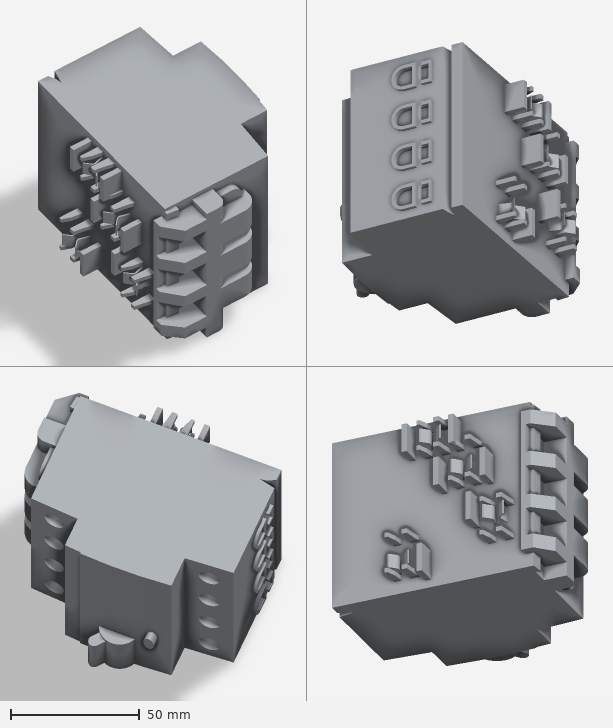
import cadquery as cq
import math

HOUSING_WIDTH = 85.3
HOUSING_HEIGHT = 71.6
SHOULDER_EDGE_Y = 49.3
SHOULDER_ROOT_Y = 50.7
NOSE_LEFT_X = 20.1
NOSE_RIGHT_X = 65.1
NOSE_EDGE_Y = 63.9
NOSE_CROWN_Y = 64.9
NOSE_DROP = 0.6
NOSE_DROP_X = 58.3
FOOT_INSET = 0.7
FOOT_TOP_Y = 4.8
NOTCH_BEND = (3.9, 6.5)
NOTCH_TIP = (6.8, 6.9)
NOTCH_TOP_Y = 8.5

LIP_TOP_WIDTH = 2.1
LIP_FOOT_WIDTH = 1.5
LIP_LENGTH_Y = 5.3
LIP_HEIGHT = 70.2

TERMINAL_COUNT = 4
TERMINAL_PITCH = 17.6
TERMINAL_ROW_Z = 35.2
TERMINAL_Y = 25.1
WIRE_HOLE_RADIUS = 3.9
WIRE_HOLE_BOTTOM_Y = 21.1
WIRE_HOLE_DEPTH = 2.9
LEFT_COLLAR_PROTRUSION = 1.4
LEFT_COLLAR_RADIUS = 5.3
LEFT_COLLAR_BOTTOM_Y = 19.8
RIGHT_COLLAR_PROTRUSION = 3.0
RIGHT_COLLAR_RADIUS = 5.0
RIGHT_COLLAR_Y = 29.8
TAB_BOTTOM_Y = 12.9
TAB_SIZE = (4.3, 9.6)
TAB_POCKET_SHIFT = 1.0
TAB_POCKET_HEIGHT = 6.6
TAB_POCKET_DEPTH = 2.9
SCREW_HOLE_DIAMETER = 8.5
SCREW_HOLE_DEPTH = 4.8

BUTTON_X = 28.0
BUTTON_Z = 26.4
BUTTON_WIDTH = 4.3
BUTTON_LENGTH = 7.3
BUTTON_TOP_Y = 68.0
DOME_CENTRE = (42.7, 61.9)
DOME_RADIUS = 8.1
DOME_Z = (0.6, 20.0)
LEVER_END = (49.6, 70.9)
LEVER_RADIUS = 2.3
LEVER_Z = (1.6, 18.5)

CONTACT_LENGTH = 8.7
BLADE_WIDTH = 2.3
BLADE_HEIGHT = 12.1
BLADES = [(34.4, 62.6), (54.2, 62.6), (48.0, 45.4), (67.7, 45.4), (61.7, 27.4), (40.8, 9.4)]
SOCKETS = [
    (40.8, 62.6, 57.0, 67.9),
    (54.2, 46.6, 41.1, 57.3),
    (67.7, 24.0, 14.5, 29.1),
    (27.2, 11.0, 6.6, 22.0),
]
FINGER_SPACING = 7.1
FINGER_HEIGHT = 1.9
FINGER_MID_Y = -4.8
LEFT_FINGER_WIDTHS = (3.4, 2.7, 1.3)
RIGHT_FINGER_WIDTHS = (3.9, 2.9, 2.3)
SPRING_HEIGHT = 5.9
SPRING_CENTRE = 5.4
SPRING_ROOT_GAP = 2.2
SPRING_KNEE_GAP = 0.9
SPRING_KNEE_Y = -4.9
SPRING_TIP_GAP = 4.0
SPRING_TIP_Y = -7.9
SPRING_THICKNESS = 0.7
SPRING_BEND_RADIUS = 1.9

COVER_RIGHT_X = 95.1
COVER_FOOT_X = 83.3
COVER_FOOT_Y = -4.0
COVER_CHAMFER_TOP_Y = 2.7
COVER_CHAMFER_X = 87.4
LOW_TAB_CHAMFER_X = 88.5
COVER_PLATE_Z = (5.8, 66.1)
COVER_BAR_Z = (0.0, 69.2)
COVER_BAR_BOTTOM_Y = 13.0
COVER_BAR_TOP_Y = 22.9
COVER_BAR_RADIUS = 4.1
BARRIER_TOP_Y = 37.9
BARRIER_RADIUS = 6.8
WINDOWS = [(11.9, 23.5), (29.4, 42.0), (48.1, 60.0)]

OVERLAP = 1.0
CUT_MARGIN = 1.9


def extrude_z(outline, z_range):
    """Extrude a closed XY outline between two Z levels."""
    bottom, top = z_range
    return outline.extrude(top - bottom).translate((0, 0, bottom))


def block(x_range, y_range, z_range):
    """Box between the given limits."""
    size = [high - low for low, high in (x_range, y_range, z_range)]
    corner = (x_range[0], y_range[0], z_range[0])
    return cq.Workplane("XY").box(*size, centered=False).translate(corner)


def centred(middle, size):
    """Limits of a length centred on a middle value."""
    return (middle - size / 2, middle + size / 2)


def crown_y(x):
    """Height of the nose's circular crown at X."""
    half_width = (NOSE_RIGHT_X - NOSE_LEFT_X) / 2
    sagitta = NOSE_CROWN_Y - NOSE_EDGE_Y
    radius = (half_width**2 + sagitta**2) / (2 * sagitta)
    offset = x - (NOSE_LEFT_X + NOSE_RIGHT_X) / 2
    return NOSE_CROWN_Y - radius + math.sqrt(radius**2 - offset**2)


def housing_block():
    nose_middle_x = (NOSE_LEFT_X + NOSE_RIGHT_X) / 2
    drop_middle_x = (NOSE_DROP_X + NOSE_RIGHT_X) / 2
    outline = (
        cq.Workplane("XY")
        .moveTo(FOOT_INSET, 0)
        .lineTo(FOOT_INSET, FOOT_TOP_Y)
        .lineTo(*NOTCH_BEND)
        .lineTo(*NOTCH_TIP)
        .lineTo(0, NOTCH_TOP_Y)
        .lineTo(0, SHOULDER_EDGE_Y)
        .lineTo(NOSE_LEFT_X, SHOULDER_ROOT_Y)
        .lineTo(NOSE_LEFT_X, NOSE_EDGE_Y)
        .threePointArc((nose_middle_x, NOSE_CROWN_Y), (NOSE_DROP_X, crown_y(NOSE_DROP_X)))
        .lineTo(NOSE_DROP_X, crown_y(NOSE_DROP_X) - NOSE_DROP)
        .threePointArc(
            (drop_middle_x, crown_y(drop_middle_x) - NOSE_DROP),
            (NOSE_RIGHT_X, NOSE_EDGE_Y - NOSE_DROP),
        )
        .lineTo(NOSE_RIGHT_X, SHOULDER_ROOT_Y)
        .lineTo(HOUSING_WIDTH, SHOULDER_EDGE_Y)
        .lineTo(HOUSING_WIDTH, 0)
        .close()
    )
    return extrude_z(outline, (0, HOUSING_HEIGHT))


def cover_lip():
    outline = cq.Workplane("XY").polyline([
        (HOUSING_WIDTH - OVERLAP, 0),
        (HOUSING_WIDTH + LIP_FOOT_WIDTH, 0),
        (HOUSING_WIDTH + LIP_TOP_WIDTH, LIP_LENGTH_Y),
        (HOUSING_WIDTH - OVERLAP, LIP_LENGTH_Y),
    ]).close()
    return extrude_z(outline, (0, LIP_HEIGHT))


def d_prism(x_range, centre_y, centre_z, radius, bottom_y):
    """Prism along X whose section is a half circle on top of a rectangle."""
    return (
        cq.Workplane("YZ")
        .moveTo(bottom_y, centre_z - radius)
        .lineTo(centre_y, centre_z - radius)
        .threePointArc((centre_y + radius, centre_z), (centre_y, centre_z + radius))
        .lineTo(bottom_y, centre_z + radius)
        .close()
        .extrude(x_range[1] - x_range[0])
        .translate((x_range[0], 0, 0))
    )


def add_left_terminal(body, z):
    """Wire collar with its hole, and the slotted tab below it, on the left side."""
    outer_x = -LEFT_COLLAR_PROTRUSION
    tab_y = (TAB_BOTTOM_Y, TAB_BOTTOM_Y + TAB_SIZE[0])
    pocket_y = [y + TAB_POCKET_SHIFT for y in tab_y]
    collar = d_prism((outer_x, OVERLAP), TERMINAL_Y, z, LEFT_COLLAR_RADIUS, LEFT_COLLAR_BOTTOM_Y)
    tab = block((outer_x, OVERLAP), tab_y, centred(z, TAB_SIZE[1]))
    hole_x = (outer_x - CUT_MARGIN, outer_x + WIRE_HOLE_DEPTH)
    hole = d_prism(hole_x, TERMINAL_Y, z, WIRE_HOLE_RADIUS, WIRE_HOLE_BOTTOM_Y)
    pocket_x = (outer_x - CUT_MARGIN, outer_x + TAB_POCKET_DEPTH)
    pocket = block(pocket_x, pocket_y, centred(z, TAB_POCKET_HEIGHT))
    return body.union(collar).union(tab).cut(hole).cut(pocket)


def add_right_collar(body, z):
    """Plain wire collar on the right side, standing on the cover's bar."""
    collar_x = (HOUSING_WIDTH - OVERLAP, HOUSING_WIDTH + RIGHT_COLLAR_PROTRUSION)
    return body.union(d_prism(collar_x, RIGHT_COLLAR_Y, z, RIGHT_COLLAR_RADIUS, COVER_BAR_TOP_Y))


def screw_hole(x, z):
    """Blind hole sunk into a shoulder."""
    shoulder_y = (SHOULDER_EDGE_Y + SHOULDER_ROOT_Y) / 2
    return (
        cq.Workplane("XZ", origin=(x, shoulder_y + CUT_MARGIN, z))
        .circle(SCREW_HOLE_DIAMETER / 2)
        .extrude(SCREW_HOLE_DEPTH + CUT_MARGIN)
    )


def button():
    root_y = NOSE_EDGE_Y - OVERLAP
    return (
        cq.Workplane("XZ", origin=(BUTTON_X, BUTTON_TOP_Y, BUTTON_Z))
        .ellipse(BUTTON_LENGTH / 2, BUTTON_WIDTH / 2, rotation_angle=90)
        .extrude(BUTTON_TOP_Y - root_y)
    )


def rocker():
    """Round dome with a lever that points away from the dome's centre."""
    dome = extrude_z(cq.Workplane("XY").center(*DOME_CENTRE).circle(DOME_RADIUS), DOME_Z)
    reach_x = LEVER_END[0] - DOME_CENTRE[0]
    reach_y = LEVER_END[1] - DOME_CENTRE[1]
    length = math.hypot(reach_x, reach_y)
    middle = (DOME_CENTRE[0] + reach_x / 2, DOME_CENTRE[1] + reach_y / 2)
    angle = math.degrees(math.atan2(reach_y, reach_x))
    outline = cq.Workplane("XY").center(*middle).slot2D(length + 2 * LEVER_RADIUS, 2 * LEVER_RADIUS, angle)
    return dome.union(extrude_z(outline, LEVER_Z))


def blade(left_x, middle_z):
    return block(
        (left_x, left_x + BLADE_WIDTH),
        (-CONTACT_LENGTH, OVERLAP),
        centred(middle_z, BLADE_HEIGHT),
    )


def finger(left_x, middle_z, widths):
    """Contact finger that narrows towards its tip."""
    root_width, mid_width, tip_width = widths
    outline = cq.Workplane("XY").polyline([
        (left_x, OVERLAP),
        (left_x, -CONTACT_LENGTH),
        (left_x + tip_width, -CONTACT_LENGTH),
        (left_x + mid_width, FINGER_MID_Y),
        (left_x + root_width, 0),
        (left_x + root_width, OVERLAP),
    ]).close()
    return extrude_z(outline, centred(middle_z, FINGER_HEIGHT))


def spring(centre_x, side, middle_z):
    """Bent sheet spring; side is -1 for the left and +1 for the right one."""
    inner = [
        (SPRING_ROOT_GAP, OVERLAP),
        (SPRING_ROOT_GAP, 0),
        (SPRING_KNEE_GAP, SPRING_KNEE_Y),
        (SPRING_TIP_GAP, SPRING_TIP_Y),
    ]
    outer = [(gap + SPRING_THICKNESS, y) for gap, y in reversed(inner)]
    points = [(centre_x + side * gap, y) for gap, y in inner + outer]
    sheet = extrude_z(cq.Workplane("XY").polyline(points).close(), centred(middle_z, SPRING_HEIGHT))
    inner_knee = (centre_x + side * SPRING_KNEE_GAP, SPRING_KNEE_Y, middle_z)
    outer_knee = (centre_x + side * (SPRING_KNEE_GAP + SPRING_THICKNESS), SPRING_KNEE_Y, middle_z)
    sheet = sheet.edges(cq.NearestToPointSelector(inner_knee)).fillet(SPRING_BEND_RADIUS)
    outer_radius = SPRING_BEND_RADIUS - SPRING_THICKNESS
    return sheet.edges(cq.NearestToPointSelector(outer_knee)).fillet(outer_radius)


def add_socket(body, left_x, spring_z, finger_levels):
    """Pair of springs with a pair of fingers at each given level."""
    for side in (-1, 1):
        body = body.union(spring(left_x + SPRING_CENTRE, side, spring_z))
    for finger_z in finger_levels:
        body = body.union(finger(left_x, finger_z, LEFT_FINGER_WIDTHS))
        body = body.union(finger(left_x + FINGER_SPACING, finger_z, RIGHT_FINGER_WIDTHS))
    return body


def make_housing():
    body = housing_block().union(cover_lip()).union(button()).union(rocker())
    left_screw_x = NOSE_LEFT_X / 2
    right_screw_x = (NOSE_RIGHT_X + HOUSING_WIDTH) / 2
    for index in range(TERMINAL_COUNT):
        z = TERMINAL_ROW_Z + (index - (TERMINAL_COUNT - 1) / 2) * TERMINAL_PITCH
        body = add_left_terminal(body, z)
        body = add_right_collar(body, z)
        body = body.cut(screw_hole(left_screw_x, z)).cut(screw_hole(right_screw_x, z))
    for left_x, middle_z in BLADES:
        body = body.union(blade(left_x, middle_z))
    for left_x, spring_z, lower_z, upper_z in SOCKETS:
        body = add_socket(body, left_x, spring_z, (lower_z, upper_z))
    return body


def cover_plate(chamfer_x, z_range):
    """Stretch of the cover's plate, with its foot under the housing and a chamfer."""
    outline = cq.Workplane("XY").polyline([
        (COVER_FOOT_X, 0),
        (COVER_FOOT_X, COVER_FOOT_Y),
        (chamfer_x, COVER_FOOT_Y),
        (COVER_RIGHT_X, COVER_CHAMFER_TOP_Y),
        (COVER_RIGHT_X, COVER_BAR_BOTTOM_Y),
        (HOUSING_WIDTH, COVER_BAR_BOTTOM_Y),
        (HOUSING_WIDTH, 0),
    ]).close()
    return extrude_z(outline, z_range)


def rounded_slab(top_y, radius, z_range):
    """Part of the cover above the plate, with its outer top corner rounded."""
    slab = block((HOUSING_WIDTH, COVER_RIGHT_X), (COVER_BAR_BOTTOM_Y, top_y), z_range)
    return slab.edges("|Z and >X and >Y").fillet(radius)


def make_cover():
    lowest_window_bottom = WINDOWS[0][0]
    low_tab_z = (COVER_PLATE_Z[0], lowest_window_bottom)
    upper_plate_z = (lowest_window_bottom, COVER_PLATE_Z[1])
    body = cover_plate(LOW_TAB_CHAMFER_X, low_tab_z)
    body = body.union(cover_plate(COVER_CHAMFER_X, upper_plate_z))
    window_x = (HOUSING_WIDTH, COVER_RIGHT_X + CUT_MARGIN)
    window_y = (COVER_FOOT_Y - CUT_MARGIN, COVER_BAR_BOTTOM_Y)
    for window_z in WINDOWS:
        body = body.cut(block(window_x, window_y, window_z))
    body = body.union(rounded_slab(COVER_BAR_TOP_Y, COVER_BAR_RADIUS, COVER_BAR_Z))
    for window_z in WINDOWS:
        body = body.union(rounded_slab(BARRIER_TOP_Y, BARRIER_RADIUS, window_z))
    return body


housing = make_housing()
cover = make_cover().cut(housing)

result = cq.Compound.makeCompound([housing.val(), cover.val()])